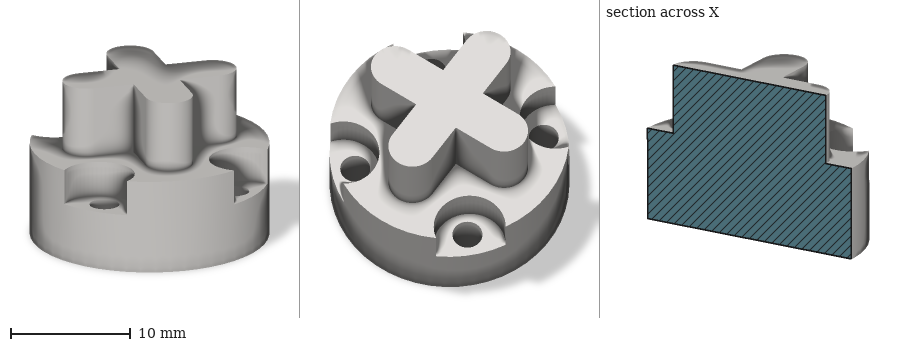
import cadquery as cq
import math

base_diameter = 20
base_height = 8

cross_length = 15
cross_width = 4
cross_height = 6

hole_diameter = 2.5
hole_circle_radius = 8

pocket_diameter = 6
pocket_depth = 3
pocket_circle_radius = 9


def diagonal_points(radius):
    """Four points at the given radius, one on each diagonal."""
    offset = radius * math.sqrt(0.5)
    return [(x * offset, y * offset) for x in (-1, 1) for y in (-1, 1)]


def cylinders(points, diameter, bottom, height):
    """Equal upright cylinders centred on the given points."""
    return (
        cq.Workplane("XY")
        .workplane(offset=bottom)
        .pushPoints(points)
        .circle(diameter / 2)
        .extrude(height)
    )


def cross_arm(angle):
    """Round-ended bar on top of the base, turned about Z."""
    return (
        cq.Workplane("XY")
        .workplane(offset=base_height)
        .slot2D(cross_length, cross_width, angle)
        .extrude(cross_height)
    )


base = cq.Workplane("XY").circle(base_diameter / 2).extrude(base_height)
pockets = cylinders(
    diagonal_points(pocket_circle_radius),
    pocket_diameter,
    base_height - pocket_depth,
    pocket_depth,
)
holes = cylinders(diagonal_points(hole_circle_radius), hole_diameter, 0, base_height)

result = base.cut(pockets).cut(holes)
for arm_angle in (0, 90):
    result = result.union(cross_arm(arm_angle))